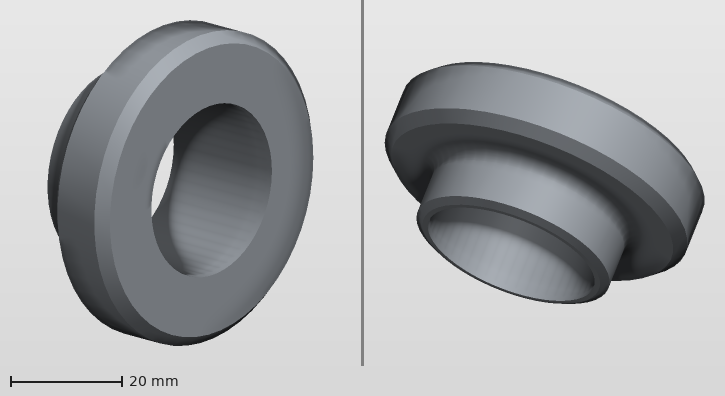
import cadquery as cq

flange_diameter = 58.0
flange_thickness = 13.0
flange_chamfer = 2.0
neck_diameter = 37.0
neck_length = 11.0
neck_tip_diameter = 34.0
neck_chamfer_length = 0.9
neck_root_fillet = 2.5
bore_diameter = 32.0

overall_length = neck_length + flange_thickness
flange_radius = flange_diameter / 2
neck_radius = neck_diameter / 2
neck_tip_radius = neck_tip_diameter / 2
bore_radius = bore_diameter / 2


def collar_profile():
    """Half section in the XY plane: X runs along the axis, Y is the radius."""
    return (
        cq.Workplane("XY")
        .moveTo(0, bore_radius)
        .lineTo(0, neck_tip_radius)
        .lineTo(neck_chamfer_length, neck_radius)
        .lineTo(neck_length - neck_root_fillet, neck_radius)
        .radiusArc((neck_length, neck_radius + neck_root_fillet), -neck_root_fillet)
        .lineTo(neck_length, flange_radius - flange_chamfer)
        .lineTo(neck_length + flange_chamfer, flange_radius)
        .lineTo(overall_length - flange_chamfer, flange_radius)
        .lineTo(overall_length, flange_radius - flange_chamfer)
        .lineTo(overall_length, bore_radius)
        .close()
    )


result = collar_profile().revolve(360, (0, 0, 0), (1, 0, 0))